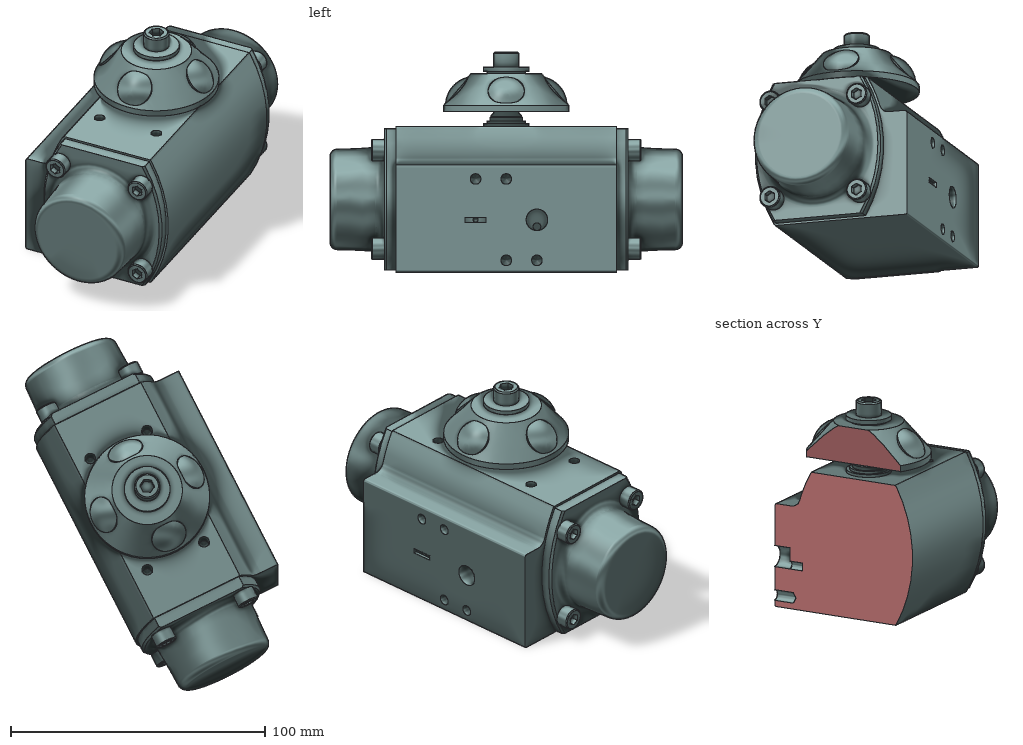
import cadquery as cq
import math


housing_half_length = 43.4
housing_half_height = 28.7
housing_bulge = 26.9
housing_edge_half_width = 19.0
edge_chamfer_width = 0.62
edge_chamfer_drop = 0.7

block_face_x = -35.7
block_top_z = 13.6
block_root_radius = 4.0
block_top_edge_radius = 1.1
block_bottom_edge_radius = 0.7

cover_half_height = 27.9
cover_bulge = 26.0
cover_edge_half_width = 18.5
cover_face_y = 48.0
cover_chamfer = 0.8

dome_end_y = 69.3
dome_base_radius = 20.5
dome_tip_radius = 19.7
dome_edge_radius = 2.9
dome_root_radius = 3.5

screw_x = 18.0
screw_z = 19.4
screw_head_diameter = 8.5
screw_head_top_y = 53.0
screw_head_chamfer = 0.4
screw_hex_flats = 4.0
screw_hex_depth = 2.8

tapped_diameter = 4.2
tapped_depth = 8.3
drill_point_angle = 118.0
top_hole_x = 12.5
top_hole_y = 25.0

face_pitch = 12.0
upper_hole_z = 8.0
lower_hole_z = -24.0
port_row_z = -8.0
port_diameter = 8.5
port_depth = 6.9
air_hole_diameter = 3.0
air_hole_depth = 5.5
slot_length = 8.3
slot_width = 2.0
slot_depth = 1.4
slot_hole_diameter = slot_width
slot_hole_depth = 2.8

collar_diameter = 17.7
collar_top_z = 29.8
step_diameter = 15.1
step_top_z = 30.8
shaft_diameter = 12.9
shaft_top_z = 32.5
shaft_chamfer = 0.4
neck_flat_bottom_z = 33.8
neck_flat_width = 10.0

indicator_bottom_z = 34.5
rim_top_z = 37.0
indicator_top_z = 49.5
rim_diameter = 49.2
crown_diameter = 27.7
button_count = 4
button_diameter = 14.3
button_sphere_diameter = 23.5
button_centre_z = 43.0
button_sink = 0.3
button_root_depth = 2.8

washer_neck_diameter = 15.1
washer_bottom_z = 50.3
washer_diameter = 18.0
washer_top_z = 52.0
cap_screw_diameter = 10.0
cap_screw_top_z = 57.9
cap_screw_chamfer = 0.5
cap_screw_hex_flats = 5.0
cap_screw_hex_depth = 4.2

shaft_neck_diameter = shaft_diameter - 2 * shaft_chamfer
cone_height = indicator_top_z - rim_top_z
cone_run = (rim_diameter - crown_diameter) / 2
button_centre_radius = rim_diameter / 2 - cone_run * (button_centre_z - rim_top_z) / cone_height
button_tilt = math.degrees(math.atan2(cone_height, cone_run))


def cylinder_z(diameter, bottom_z, top_z):
    """Upright cylinder on the shaft axis."""
    return cq.Workplane("XY").workplane(offset=bottom_z).circle(diameter / 2).extrude(top_z - bottom_z)


def drilled_hole(diameter, depth):
    """Blind hole with a conical point, drilled down from the origin along -Z."""
    radius = diameter / 2
    point_height = radius / math.tan(math.radians(drill_point_angle / 2))
    return (
        cq.Workplane("XZ")
        .polyline([(0, 0), (radius, 0), (radius, -depth), (0, -depth - point_height)])
        .close()
        .revolve(360, (0, 0), (0, 1))
    )


def into_mounting_face(tool, y, z, start_depth=0):
    """Turn a tool that points along -Z so that it enters the mounting face along +X."""
    return tool.rotate((0, 0, 0), (0, 1, 0), -90).translate((block_face_x + start_depth, y, z))


def socket_head(diameter, height, chamfer, hex_flats, hex_depth):
    """Upright screw head on the origin; two corners of its hexagon socket lie along Y."""
    head = cq.Workplane("XY").circle(diameter / 2).extrude(height).faces(">Z").edges().chamfer(chamfer)
    hex_diameter = hex_flats / math.cos(math.pi / 6)
    socket = (
        cq.Workplane("XY", origin=(0, 0, height - hex_depth))
        .transformed(rotate=(0, 0, 90))
        .polygon(6, hex_diameter)
        .extrude(hex_depth)
    )
    return head.cut(socket)


def barrel():
    """Barrel with bowed sides, a flat top and bottom and small corner chamfers."""
    flat = housing_edge_half_width
    side = flat + edge_chamfer_width
    top = housing_half_height
    shoulder = top - edge_chamfer_drop
    return (
        cq.Workplane("XZ")
        .moveTo(-flat, top)
        .lineTo(flat, top)
        .lineTo(side, shoulder)
        .threePointArc((housing_bulge, 0), (side, -shoulder))
        .lineTo(flat, -top)
        .lineTo(-flat, -top)
        .lineTo(-side, -shoulder)
        .threePointArc((-housing_bulge, 0), (-side, shoulder))
        .close()
        .extrude(housing_half_length, both=True)
    )


def mounting_block():
    """Block that carries the mounting face, with rounded outer edges."""
    return (
        cq.Workplane("XZ")
        .moveTo(0, block_top_z)
        .lineTo(block_face_x, block_top_z)
        .lineTo(block_face_x, -housing_half_height)
        .lineTo(0, -housing_half_height)
        .close()
        .extrude(housing_half_length, both=True)
        .edges("|Y and <X and >Z")
        .fillet(block_top_edge_radius)
        .edges("|Y and <X and <Z")
        .fillet(block_bottom_edge_radius)
    )


def housing():
    """Barrel and block, blended where the block top meets the bowed side."""
    blank = barrel().union(mounting_block())
    root_edge = cq.selectors.NearestToPointSelector((-housing_bulge, 0, block_top_z))
    return blank.edges("|Y").edges(root_edge).fillet(block_root_radius)


def end_cover():
    """Cover on the -Y end; only the bowed edges of its face are chamfered."""
    half_width = cover_edge_half_width
    top = cover_half_height
    return (
        cq.Workplane("XZ", origin=(0, -housing_half_length, 0))
        .moveTo(-half_width, top)
        .lineTo(half_width, top)
        .threePointArc((cover_bulge, 0), (half_width, -top))
        .lineTo(-half_width, -top)
        .threePointArc((-cover_bulge, 0), (-half_width, top))
        .close()
        .extrude(cover_face_y - housing_half_length)
        .faces("<Y")
        .edges("%CIRCLE")
        .chamfer(cover_chamfer)
    )


def end_dome():
    """Tapered dome on the -Y cover, with a concave root and a rounded tip edge."""
    root_outer_radius = dome_base_radius + dome_root_radius
    arc_inset = dome_root_radius * (1 - math.sqrt(0.5))
    return (
        cq.Workplane("XY")
        .moveTo(0, -housing_half_length)
        .lineTo(0, -dome_end_y)
        .lineTo(dome_tip_radius, -dome_end_y)
        .lineTo(dome_base_radius, -cover_face_y - dome_root_radius)
        .threePointArc(
            (dome_base_radius + arc_inset, -cover_face_y - arc_inset),
            (root_outer_radius, -cover_face_y),
        )
        .lineTo(root_outer_radius, -housing_half_length)
        .close()
        .revolve(360, (0, 0), (0, 1))
        .faces("<Y")
        .edges()
        .fillet(dome_edge_radius)
    )


def end_assembly():
    """Cover, dome and four screw heads on the -Y end."""
    end = end_cover().union(end_dome())
    head = socket_head(
        screw_head_diameter,
        screw_head_top_y - cover_face_y,
        screw_head_chamfer,
        screw_hex_flats,
        screw_hex_depth,
    ).rotate((0, 0, 0), (1, 0, 0), 90)
    head_space = (
        cq.Workplane("XZ", origin=(0, -cover_face_y, 0))
        .rect(2 * screw_x, 2 * screw_z, forConstruction=True)
        .vertices()
        .circle(screw_head_diameter / 2)
        .extrude(screw_head_top_y - cover_face_y)
    )
    end = end.cut(head_space)
    for x in (-screw_x, screw_x):
        for z in (-screw_z, screw_z):
            end = end.union(head.translate((x, -cover_face_y, z)))
    return end


def shaft():
    """Stepped drive shaft; its neck tapers to two flats and meets the indicator."""
    collar = cylinder_z(collar_diameter, housing_half_height, collar_top_z)
    step = cylinder_z(step_diameter, collar_top_z, step_top_z)
    journal = cylinder_z(shaft_diameter, step_top_z, shaft_top_z).faces(">Z").edges().chamfer(shaft_chamfer)
    neck = cylinder_z(shaft_neck_diameter, shaft_top_z, indicator_bottom_z)
    flat = neck_flat_width / 2
    root = shaft_diameter / 2
    flats = (
        cq.Workplane("YZ")
        .polyline([
            (-root, shaft_top_z),
            (-flat, neck_flat_bottom_z),
            (-flat, indicator_bottom_z),
            (flat, indicator_bottom_z),
            (flat, neck_flat_bottom_z),
            (root, shaft_top_z),
        ])
        .close()
        .extrude(shaft_diameter / 2, both=True)
    )
    return collar.union(step).union(journal).union(neck.intersect(flats))


def top_holes():
    """Four drilled holes in the top of the housing."""
    return (
        cq.Workplane("XY", origin=(0, 0, housing_half_height))
        .rect(2 * top_hole_x, 2 * top_hole_y, forConstruction=True)
        .vertices()
        .eachpoint(lambda place: drilled_hole(tapped_diameter, tapped_depth).val().moved(place))
    )


def cut_mounting_face(body):
    """Cut the screw holes, the air port and the indexing slot of the mounting face."""
    screw_hole = drilled_hole(tapped_diameter, tapped_depth)
    for y, z in (
        (face_pitch, upper_hole_z),
        (0, upper_hole_z),
        (0, lower_hole_z),
        (-face_pitch, lower_hole_z),
    ):
        body = body.cut(into_mounting_face(screw_hole, y, z))

    port = cq.Workplane("XY").circle(port_diameter / 2).extrude(-port_depth)
    air_hole = cq.Workplane("XY").circle(air_hole_diameter / 2).extrude(-air_hole_depth)
    air_hole_z = port_row_z - (port_diameter - air_hole_diameter) / 2
    body = body.cut(into_mounting_face(port, -face_pitch, port_row_z))
    body = body.cut(into_mounting_face(air_hole, -face_pitch, air_hole_z, port_depth))

    slot = cq.Workplane("XY").rect(slot_width, slot_length).extrude(-slot_depth)
    slot_hole = drilled_hole(slot_hole_diameter, slot_hole_depth)
    body = body.cut(into_mounting_face(slot, face_pitch, port_row_z))
    return body.cut(into_mounting_face(slot_hole, face_pitch, port_row_z, slot_depth))


def actuator_body():
    """Housing with both ends, the shaft and all holes, as one solid."""
    end = end_assembly()
    body = housing().union(end).union(end.mirror("XZ")).union(shaft()).cut(top_holes())
    return cut_mounting_face(body)


def button():
    """Round button with a domed end, set square to the cone on the +X side."""
    radius = button_diameter / 2
    sphere_radius = button_sphere_diameter / 2
    sphere_depth = math.sqrt(sphere_radius**2 - radius**2)
    dome = cq.Workplane("XY").sphere(sphere_radius).translate((0, 0, -sphere_depth - button_sink))
    return (
        cylinder_z(button_diameter, -button_root_depth, sphere_radius)
        .intersect(dome)
        .rotate((0, 0, 0), (0, 1, 0), button_tilt)
        .translate((button_centre_radius, 0, button_centre_z))
    )


def indicator_cap():
    """Conical cap with a straight rim and buttons spread around the cone."""
    cap = (
        cq.Workplane("XZ")
        .polyline([
            (0, indicator_bottom_z),
            (rim_diameter / 2, indicator_bottom_z),
            (rim_diameter / 2, rim_top_z),
            (crown_diameter / 2, indicator_top_z),
            (0, indicator_top_z),
        ])
        .close()
        .revolve(360, (0, 0), (0, 1))
    )
    for index in range(button_count):
        cap = cap.union(button().rotate((0, 0, 0), (0, 0, 1), index * 360 / button_count))
    return cap


def indicator_body():
    """Cap with its washer and socket screw."""
    washer_neck = cylinder_z(washer_neck_diameter, indicator_top_z, washer_bottom_z)
    washer = cylinder_z(washer_diameter, washer_bottom_z, washer_top_z)
    screw = socket_head(
        cap_screw_diameter,
        cap_screw_top_z - washer_top_z,
        cap_screw_chamfer,
        cap_screw_hex_flats,
        cap_screw_hex_depth,
    ).translate((0, 0, washer_top_z))
    return indicator_cap().union(washer_neck).union(washer).union(screw)


actuator = actuator_body()
indicator = indicator_body()

result = cq.Compound.makeCompound([actuator.val(), indicator.val()])